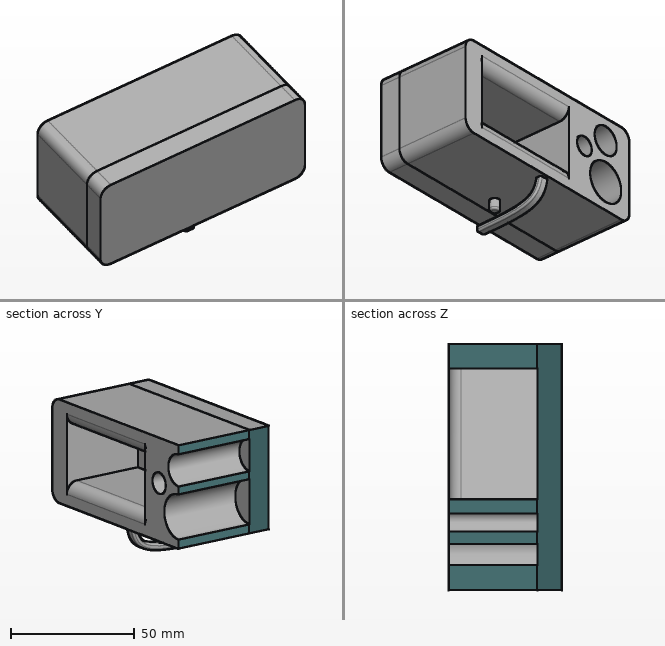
import cadquery as cq

housing_depth = 36.0
cover_depth = 10.0
case_width = 100.0
case_height = 44.0
case_corner_radius = 5.0

window_y_min = -13.0
window_y_max = 40.0
window_margin = 10.0
window_height = case_height - 2 * window_margin
window_lip_radius = 5.0

large_opening = (19.0, -35.5, 13.5)
medium_opening = (13.5, -35.5, 33.25)
small_opening = (9.0, -22.5, 24.75)

button_diameter = 4.5
button_length = 5.0
button_x = 28.75
button_tip_fillet = 1.0

lever_width = 4.5
lever_thickness = 3.0
lever_edge_fillet = 0.9
lever_tip_fillet = 0.75
lever_root_x = 3.15
lever_tip_x = 36.75
lever_drop = 12.41
lever_tip_z = lever_thickness / 2 - lever_drop
lever_root_control = (4.8, -10.0)
lever_tip_control_x = 12.0
lever_root_overrun = 0.1


def case_block(x_start, depth):
    """Slice of the rounded case that starts at x_start, with its underside at z = 0."""
    return (
        cq.Workplane("YZ", origin=(x_start, 0, case_height / 2))
        .rect(case_width, case_height)
        .extrude(depth)
        .edges("|X")
        .fillet(case_corner_radius)
    )


def window_cutter():
    """Straight pocket plus a flare that rounds its upper and lower front lips outward."""
    y_size = window_y_max - window_y_min
    y_middle = (window_y_max + window_y_min) / 2
    pocket = cq.Workplane("XY").box(
        housing_depth, y_size, window_height, centered=(False, True, True)
    )
    inner = window_height / 2
    outer = inner + window_lip_radius
    flare = (
        cq.Workplane("XZ")
        .moveTo(0, -outer)
        .radiusArc((window_lip_radius, -inner), window_lip_radius)
        .lineTo(window_lip_radius, inner)
        .radiusArc((0, outer), window_lip_radius)
        .close()
        .extrude(y_size / 2, both=True)
    )
    return pocket.union(flare).translate((0, y_middle, case_height / 2))


def make_housing():
    housing = case_block(0, housing_depth).cut(window_cutter())
    for diameter, y, z in (large_opening, medium_opening, small_opening):
        opening = (
            cq.Workplane("YZ")
            .center(y, z)
            .circle(diameter / 2)
            .extrude(housing_depth)
        )
        housing = housing.cut(opening)
    return housing


def make_cover():
    return case_block(housing_depth, cover_depth)


def make_button():
    return (
        cq.Workplane("XY", origin=(button_x, 0, 0))
        .circle(button_diameter / 2)
        .extrude(-button_length)
        .faces("<Z")
        .edges()
        .fillet(button_tip_fillet)
    )


def make_lever():
    """Rounded section swept along a Bezier curve from its level tip, trimmed flat at the underside."""
    control_x, control_z = lever_root_control
    overrun_point = (
        lever_root_x + lever_root_overrun * (lever_root_x - control_x),
        -lever_root_overrun * control_z,
    )
    path = (
        cq.Workplane("XZ")
        .bezier(
            [
                (lever_tip_x, lever_tip_z),
                (lever_tip_control_x, lever_tip_z),
                lever_root_control,
                (lever_root_x, 0),
            ]
        )
        .lineTo(*overrun_point)
    )
    profile = (
        cq.Sketch()
        .rect(lever_width, lever_thickness)
        .vertices()
        .fillet(lever_edge_fillet)
    )
    bar = (
        cq.Workplane("YZ", origin=(lever_tip_x, 0, lever_tip_z))
        .placeSketch(profile)
        .sweep(path)
        .faces(">X")
        .edges()
        .fillet(lever_tip_fillet)
    )
    space_inside_case = case_block(0, housing_depth)
    return bar.cut(space_inside_case)


housing = make_housing()
cover = make_cover()
button = make_button()
lever = make_lever()

result = cq.Compound.makeCompound([housing.val(), cover.val(), button.val(), lever.val()])